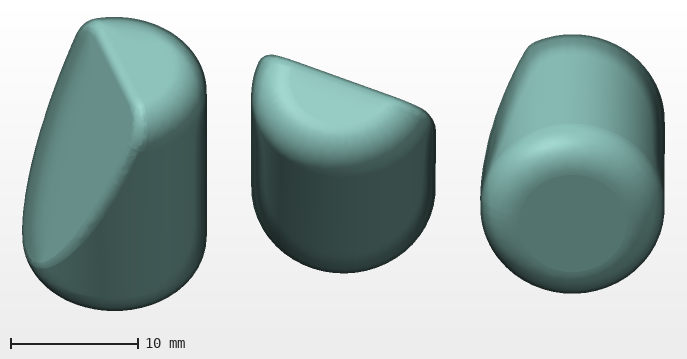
import cadquery as cq

height = 21.5
diameter = 14.5
end_rounding = 3.0
slope_rounding = 1.0
slope_foot_height = 3.0

radius = diameter / 2
slope_run_per_rise = radius / (height - slope_foot_height)


def rounded_cylinder():
    body = cq.Workplane("XY").circle(radius).extrude(height)
    return body.faces("<Z or >Z").edges().fillet(end_rounding)


def slope_cutter():
    """Wedge in front of a plane that falls from the top centre line to the front foot."""
    foot_y = -height * slope_run_per_rise
    return (
        cq.Workplane("YZ")
        .moveTo(0, height)
        .lineTo(foot_y, 0)
        .lineTo(foot_y, height)
        .close()
        .extrude(radius, both=True)
    )


slope_normal = cq.Vector(0, -1, slope_run_per_rise)
body = rounded_cylinder().cut(slope_cutter())
slope_face = body.faces(cq.selectors.ParallelDirSelector(slope_normal))
result = slope_face.edges().fillet(slope_rounding)